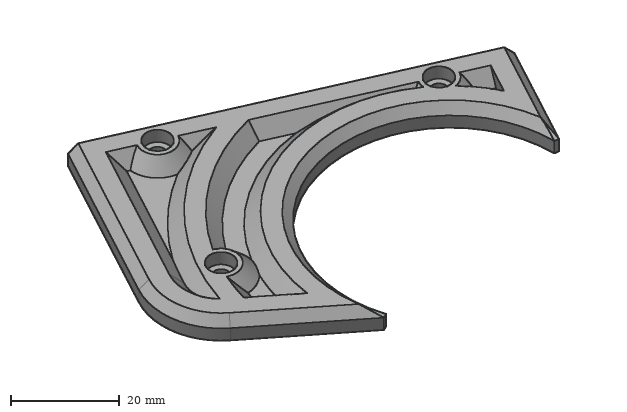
import cadquery as cq
import math

length = 86.6
width = 62.0
thickness = 5.0
chamfer = 2.0
rim_height = thickness - chamfer
corner_radius = 16.0
corner_x = 40.0
side_lean = math.radians(13.0)

cutout_x = corner_x
cutout_y = 60.5
cutout_radius = 28.9
upper_tip_outer_x = 25.3
upper_tip_inner_x = 25.55
right_tip_inner_x = 61.1

wall = 4.0
pocket_depth = 3.0
draft = 45.0
inset = chamfer + wall
floor_z = thickness - pocket_depth
rim_radius = cutout_radius + inset
rib_inner_radius = 44.95
rib_outer_radius = rib_inner_radius + wall

hole_diameter = 3.4
counterbore_diameter = 6.0
counterbore_depth = 3.0
boss_radius = 4.0
upper_hole_y = 70.6
hole_points = [(wall, corner_radius), (corner_x, corner_radius), (wall, upper_hole_y)]


def side_x(y, offset):
    """X of the leaning right side at height y, moved inward by offset."""
    reach = corner_radius - offset
    return corner_x + (reach + (y - corner_radius) * math.sin(side_lean)) / math.cos(side_lean)


def side_y(x):
    """Y of the leaning right side at the given x."""
    return corner_radius + ((x - corner_x) * math.cos(side_lean) - corner_radius) / math.sin(side_lean)


def cutout_edge_y(x, direction):
    """Y of the cutout circle at x, above (+1) or below (-1) its centre."""
    return cutout_y + direction * math.sqrt(cutout_radius**2 - (x - cutout_x) ** 2)


def outline(z, left, offset, end_points):
    """Left side, bottom, round corner and right side, closed through end_points."""
    radius = corner_radius - offset
    middle = -(side_lean + math.pi / 2) / 2

    def on_corner(angle):
        return (corner_x + radius * math.cos(angle), corner_radius + radius * math.sin(angle))

    sketch = cq.Workplane("XY", origin=(0, 0, z)).moveTo(left, offset).lineTo(corner_x, offset)
    sketch = sketch.threePointArc(on_corner(middle), on_corner(-side_lean))
    for point in end_points:
        sketch = sketch.lineTo(*point)
    return sketch.close()


def cone(x, y, z, bottom_radius, top_radius, height):
    """Upright cone frustum starting at z."""
    return cq.Workplane(cq.Solid.makeCone(bottom_radius, top_radius, height, cq.Vector(x, y, z)))


def rim_cone(radius):
    """Disc around the cutout centre that widens towards the pocket floor."""
    return cone(cutout_x, cutout_y, floor_z, radius + pocket_depth, radius, pocket_depth)


def tip_bevel(outer, inner, ridge):
    """Wedge above the plane that rises from the tip edge to the ridge point."""
    edge = cq.Vector(*inner) - cq.Vector(*outer)
    inward = cq.Vector(-edge.y, edge.x, 0).normalized()
    to_ridge = cq.Vector(*ridge) - cq.Vector(*outer)
    if to_ridge.dot(inward) < 0:
        inward = -inward
    run = to_ridge.dot(inward)
    plane = cq.Plane(
        origin=(outer[0], outer[1], rim_height),
        xDir=inward,
        normal=inward.cross(cq.Vector(0, 0, 1)),
    )
    wedge = cq.Workplane(plane).polyline([(0, 0), (run, chamfer), (0, chamfer)]).close()
    return wedge.extrude(inset, both=True)


upper_outer = (upper_tip_outer_x, length)
upper_inner = (upper_tip_inner_x, cutout_edge_y(upper_tip_inner_x, 1))
right_outer = (width, side_y(width))
right_inner = (right_tip_inner_x, cutout_edge_y(right_tip_inner_x, -1))

bevel_radius = cutout_radius + chamfer
upper_rise = length - chamfer - cutout_y
upper_ridge = (cutout_x - math.sqrt(bevel_radius**2 - upper_rise**2), length - chamfer)
side_distance = (side_x(cutout_y, chamfer) - cutout_x) * math.cos(side_lean)
along_side = -math.sqrt(bevel_radius**2 - side_distance**2)
right_ridge = (
    cutout_x + side_distance * math.cos(side_lean) + along_side * math.sin(side_lean),
    cutout_y - side_distance * math.sin(side_lean) + along_side * math.cos(side_lean),
)

plate_ends = [right_outer, right_inner, upper_inner, upper_outer, (0, length)]
plate = outline(0, 0, 0, plate_ends).extrude(thickness)
lower_right_box = cq.selectors.BoxSelector(
    (wall, -wall, rim_height), (width, right_outer[1] - inset, length)
)
bevelled_edges = plate.faces(">Z").edges(lower_right_box)
top_edge = plate.edges(">Z and >Y")
plate = plate.newObject(bevelled_edges.vals() + top_edge.vals()).chamfer(chamfer)

bore = cq.Workplane("XY").center(cutout_x, cutout_y).circle(cutout_radius).extrude(thickness)
plate = plate.cut(bore)
plate = plate.cut(cone(cutout_x, cutout_y, rim_height, cutout_radius, bevel_radius, chamfer))
plate = plate.cut(tip_bevel(upper_outer, upper_inner, upper_ridge))
plate = plate.cut(tip_bevel(right_outer, right_inner, right_ridge))

drafted_top = length - inset + pocket_depth
pocket_ends = [(side_x(drafted_top, inset), drafted_top), (wall, drafted_top)]
pocket = outline(thickness, wall, inset, pocket_ends).extrude(-pocket_depth, taper=draft)
pocket = pocket.intersect(cq.Workplane("XY").box(width, length - inset, thickness, centered=False))
pocket = pocket.cut(rim_cone(rim_radius))
rib_core = cone(
    cutout_x, cutout_y, floor_z, rib_inner_radius - pocket_depth, rib_inner_radius, pocket_depth
)
pocket = pocket.cut(rim_cone(rib_outer_radius).cut(rib_core))
for x, y in hole_points:
    pocket = pocket.cut(cone(x, y, floor_z, boss_radius + pocket_depth, boss_radius, pocket_depth))
plate = plate.cut(pocket)

result = (
    plate.faces(">Z")
    .workplane(origin=(0, 0, thickness))
    .pushPoints(hole_points)
    .cboreHole(hole_diameter, counterbore_diameter, counterbore_depth)
)